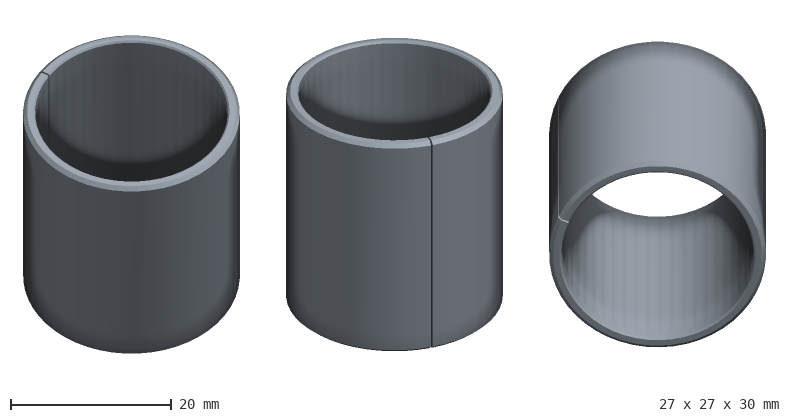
import cadquery as cq

length = 30.0
outer_diameter = 27.0
wall = 1.5
outer_chamfer_width = 0.5
outer_chamfer_height = 0.45
inner_chamfer = 0.2
slit_width = 0.25

outer_radius = outer_diameter / 2
inner_radius = outer_radius - wall
half_length = length / 2


def make_sleeve():
    """Revolve the wall section, with its four corners chamfered."""
    outer_edge = half_length - outer_chamfer_height
    inner_edge = half_length - inner_chamfer
    face_outer = outer_radius - outer_chamfer_width
    face_inner = inner_radius + inner_chamfer
    return (
        cq.Workplane("XZ")
        .moveTo(face_inner, -half_length)
        .lineTo(face_outer, -half_length)
        .lineTo(outer_radius, -outer_edge)
        .lineTo(outer_radius, outer_edge)
        .lineTo(face_outer, half_length)
        .lineTo(face_inner, half_length)
        .lineTo(inner_radius, inner_edge)
        .lineTo(inner_radius, -inner_edge)
        .close()
        .revolve(360, (0, 0, 0), (0, 1, 0))
    )


def make_slit():
    """Full-length butt joint on the -X side, with one face on the XZ plane and the gap on +Y."""
    return (
        cq.Workplane("XY")
        .box(outer_radius, slit_width, length, centered=(False, False, True))
        .translate((-outer_radius, 0, 0))
    )


result = make_sleeve().cut(make_slit())